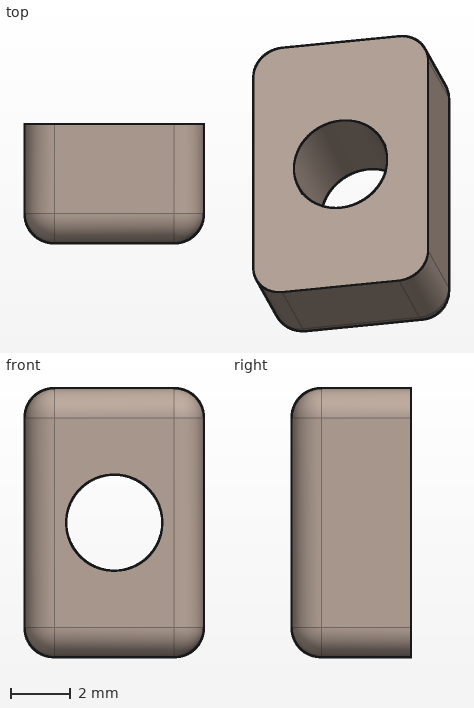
import cadquery as cq

height = 9.0
width = 6.0
depth = 4.0
edge_radius = 1.0
hole_diameter = 3.2


def rounded_block():
    """Block with rounded corners along Y and a rounded front (-Y) rim; the back stays sharp."""
    block = cq.Workplane("XY").box(width, depth, height)
    block = block.edges("|Y or <Y").fillet(edge_radius)
    return block


def through_hole():
    """Central round hole running along Y through the whole depth."""
    return cq.Workplane("XZ").circle(hole_diameter / 2).extrude(depth, both=True)


result = rounded_block().cut(through_hole())